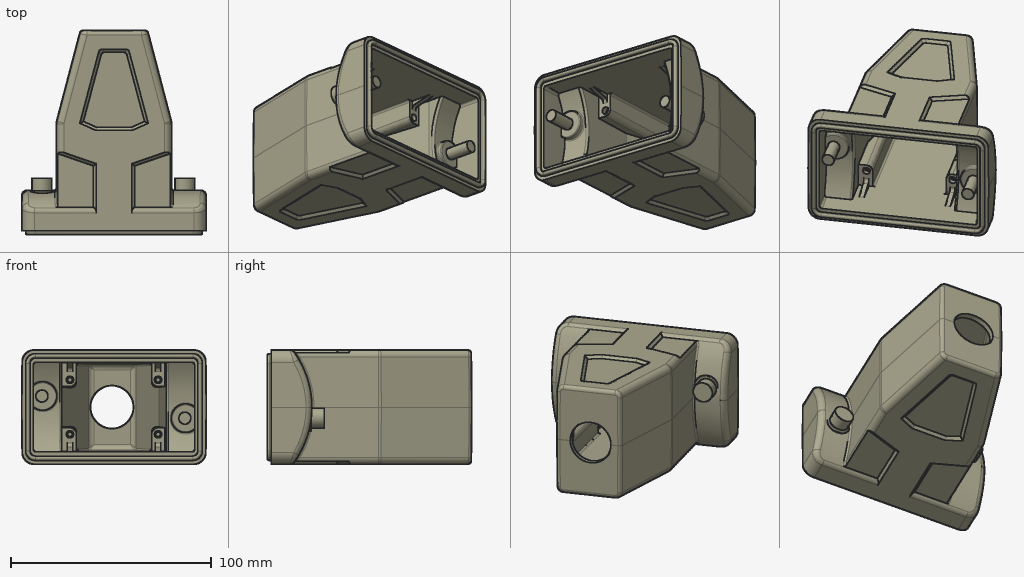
import cadquery as cq
import math

LENGTH = 102.0
HALF_HEIGHT = 28.51
MOULD_DRAFT = 0.5
FACE_Y = 2.0
SHOULDER_Y = 56.1
SHOULDER_RADIUS = 5.1
BODY_HALF_WIDTH = 28.8
END_HALF_WIDTH = 16.7
BODY_EDGE_RADIUS = 3.5
END_EDGE_RADIUS = 2.0

FLANGE_HALF_WIDTH = 46.0
FLANGE_CORNER_RADIUS = 6.1
EAR_TOP_Y = 22.3
EAR_ARCH_RADIUS = 47.1
EAR_EDGE_RADIUS = 3.1
EAR_ROOT_RADIUS = 0.9

RECESS_DEPTH = 1.5
RECESS_WALL_ANGLE = 45
LABEL_FRONT_Y = 52.1
LABEL_SHOULDER_Y = 55.7
LABEL_REAR_Y = 92.5
LABEL_FRONT_HALF_WIDTH = 9.1
LABEL_SHOULDER_HALF_WIDTH = 17.0
LABEL_REAR_HALF_WIDTH = 7.2
LABEL_CORNER_RADIUS = 2.5
GRIP_INNER_X = 8.8
GRIP_INNER_Y = 35.5
GRIP_SLOPE = 0.345

OPENING_HALF_WIDTH = 40.2
OPENING_HALF_HEIGHT = 22.3
OPENING_CORNER_RADIUS = 1.5
CAVITY_END_Y = 98.9
CAVITY_END_HALF_HEIGHT = 21.3
CAVITY_HALF_WIDTH = 26.0
CAVITY_RIGHT_BEND_X = 22.3
CAVITY_LEFT_BEND_Y = 51.0
CAVITY_RIGHT_SLOPE_Y = 22.4
CABLE_X = -1.0
CAVITY_END_HALF_WIDTH = 11.3
CAVITY_END_RADIUS = 2.9
CAVITY_FLOOR_RADIUS = 0.8
CAVITY_STEP_RADIUS = 1.1
EAR_WALL = 2.9
CABLE_HOLE_DIAMETER = 21.3

POST_OUTER_X = 26.0
POST_INNER_X = 18.8
POST_INNER_Z = 10.3
POST_FRONT_Y = 28.6
POST_REAR_Y = 81.6
POST_DRAFT = 1.0
POST_CORNER_RADIUS = 3.1
POST_FOOT_RADIUS = 1.0
SCREW_X = 21.9
SCREW_Z = 13.6
SCREW_DIAMETER = 2.3
SCREW_MOUTH_DIAMETER = 3.6
SCREW_MOUTH_DEPTH = 3.1
SCREW_DEPTH = 12.2
RIB_WIDTH = 2.5
RIB_INNER_Z = 19.4
RIB_ROOT_RADIUS = 2.0
RIB_FRONT_Y = 16.7

PIN_X = 35.6
PIN_Z = 5.5
PIN_SHIFT_X = -0.3
PIN_SHAFT_DIAMETER = 6.0
PIN_HEAD_DIAMETER = 10.0
PIN_FRONT_Y = 2.5
PIN_REAR_Y = 28.4
SEAT_REAR_Y = 21.9
SEAT_REAR_DIAMETER = 13.0
SEAT_REAR_RIM_DIAMETER = 12.0
SEAT_FRONT_Y = 16.3
SEAT_FRONT_DIAMETER = 14.3
SEAT_EDGE_RADIUS = 0.5

SEAL_HALF_WIDTH = 44.1
SEAL_HALF_HEIGHT = 26.6
SEAL_WIDTH = 2.2
SEAL_CORNER_RADIUS = 4.9
SEAL_GROOVE_DEPTH = 2.0

SIDES = (-1, 1)
TRIM = 10.2
WELL = 81.6


def mirrored_outline(half):
    """Closed outline from points on the +X half, mirrored in X = 0."""
    return half + [(-x, y) for x, y in reversed(half)]


def both_halves(upper):
    """A shape above the parting plane joined to its mirror image below it."""
    return upper.union(upper.mirror("XY"))


def near(x_range, y_range, z_range):
    """Selector for what is centred inside a box."""
    return cq.selectors.BoxSelector(*zip(x_range, y_range, z_range))


def mould_half(points):
    """Upper mould half of an outline in XY."""
    return cq.Workplane("XY").polyline(points).close().extrude(HALF_HEIGHT, taper=MOULD_DRAFT)


def arch(front_y, crown_y, radius, half_chord):
    """Prism along X, flat in front and arched at the rear."""
    foot_y = crown_y - radius + math.sqrt(radius**2 - half_chord**2)
    return (
        cq.Workplane("YZ")
        .moveTo(front_y, -half_chord)
        .lineTo(foot_y, -half_chord)
        .threePointArc((crown_y, 0), (foot_y, half_chord))
        .lineTo(front_y, half_chord)
        .close()
        .extrude(WELL, both=True)
    )


def rounded_bar(half_width, half_height, corner_radius, front_y, rear_y):
    """Rectangular bar along Y with rounded long edges."""
    bar = cq.Workplane("XZ", origin=(0, front_y, 0)).rect(2 * half_width, 2 * half_height)
    return bar.extrude(front_y - rear_y).edges("|Y").fillet(corner_radius)


def cylinder(x, z, diameter, front_y, rear_y):
    """Cylinder along Y."""
    circle = cq.Workplane("XZ", origin=(x, front_y, z)).circle(diameter / 2)
    return circle.extrude(front_y - rear_y)


def body_half():
    plan = mirrored_outline(
        [(BODY_HALF_WIDTH, -TRIM), (BODY_HALF_WIDTH, SHOULDER_Y), (END_HALF_WIDTH, LENGTH)]
    )
    half = mould_half(plan)
    for side in SIDES:
        shoulder_x = side * BODY_HALF_WIDTH
        shoulder = near(
            (shoulder_x - 1, shoulder_x + 1), (SHOULDER_Y - 1, SHOULDER_Y + 1), (1, HALF_HEIGHT - 1)
        )
        half = half.edges(shoulder).fillet(SHOULDER_RADIUS)
    half = half.faces(">Z").edges("not(|X)").fillet(BODY_EDGE_RADIUS)
    end_face = near((-WELL, WELL), (LENGTH - 1, LENGTH + 1), (0, WELL))
    half = half.faces(end_face).edges("not <Z").fillet(END_EDGE_RADIUS)
    front_waste = cq.Workplane("XY").box(2 * WELL, 2 * WELL, 2 * WELL).translate((0, FACE_Y - WELL, 0))
    return half.cut(front_waste)


def flange_half():
    plan = mirrored_outline([(FLANGE_HALF_WIDTH, -TRIM), (FLANGE_HALF_WIDTH, WELL)])
    half = mould_half(plan).faces(">Z").edges("not(|X)").fillet(FLANGE_CORNER_RADIUS)
    half = half.intersect(arch(FACE_Y, EAR_TOP_Y, EAR_ARCH_RADIUS, HALF_HEIGHT))
    rear_edges = near((-WELL, WELL), (EAR_TOP_Y / 2, WELL), (1, WELL))
    return half.edges(rear_edges).fillet(EAR_EDGE_RADIUS)


def recess(points):
    """Recess with slanted walls in the top face."""
    top = cq.Workplane("XY", origin=(0, 0, HALF_HEIGHT)).polyline(points).close()
    return top.extrude(-RECESS_DEPTH, taper=RECESS_WALL_ANGLE)


def label_recess():
    outline = mirrored_outline(
        [
            (LABEL_FRONT_HALF_WIDTH, LABEL_FRONT_Y),
            (LABEL_SHOULDER_HALF_WIDTH, LABEL_SHOULDER_Y),
            (LABEL_REAR_HALF_WIDTH, LABEL_REAR_Y),
        ]
    )
    top = recess(outline)
    for side in SIDES:
        corner_x = side * LABEL_REAR_HALF_WIDTH
        corner = near((corner_x - 1, corner_x + 1), (LABEL_REAR_Y - 1, LABEL_REAR_Y), (0, WELL))
        top = top.edges(corner).fillet(LABEL_CORNER_RADIUS)
    return top


def grip_recess(side):
    outer_x = BODY_HALF_WIDTH + TRIM
    outer_y = GRIP_INNER_Y + GRIP_SLOPE * (outer_x - GRIP_INNER_X)
    outline = [
        (side * GRIP_INNER_X, FACE_Y),
        (side * outer_x, FACE_Y),
        (side * outer_x, outer_y),
        (side * GRIP_INNER_X, GRIP_INNER_Y),
    ]
    return recess(outline)


def cavity():
    """Space inside the housing: the body cavity, widened in front by the arched ears."""
    plan = [
        (-CAVITY_HALF_WIDTH, FACE_Y),
        (CAVITY_HALF_WIDTH, FACE_Y),
        (CAVITY_HALF_WIDTH, CAVITY_RIGHT_SLOPE_Y),
        (CAVITY_RIGHT_BEND_X, SHOULDER_Y),
        (CABLE_X + CAVITY_END_HALF_WIDTH, CAVITY_END_Y),
        (CABLE_X - CAVITY_END_HALF_WIDTH, CAVITY_END_Y),
        (-CAVITY_HALF_WIDTH, CAVITY_LEFT_BEND_Y),
    ]
    space = cq.Workplane("XY").polyline(plan).close().extrude(HALF_HEIGHT, both=True)
    ears = arch(FACE_Y, EAR_TOP_Y - EAR_WALL, EAR_ARCH_RADIUS - EAR_WALL, OPENING_HALF_HEIGHT)
    ears = ears.intersect(
        rounded_bar(OPENING_HALF_WIDTH, OPENING_HALF_HEIGHT, OPENING_CORNER_RADIUS, FACE_Y, WELL)
    )
    floors = (
        cq.Workplane("YZ")
        .polyline(
            [
                (FACE_Y, -OPENING_HALF_HEIGHT),
                (CAVITY_END_Y, -CAVITY_END_HALF_HEIGHT),
                (CAVITY_END_Y, CAVITY_END_HALF_HEIGHT),
                (FACE_Y, OPENING_HALF_HEIGHT),
            ]
        )
        .close()
        .extrude(WELL, both=True)
    )
    space = space.intersect(floors)
    slanted_edges = near((-WELL, WELL), (SHOULDER_Y + TRIM, CAVITY_END_Y - TRIM), (-WELL, WELL))
    space = space.faces(">Y").edges().fillet(CAVITY_END_RADIUS)
    space = space.edges(slanted_edges).fillet(CAVITY_FLOOR_RADIUS)
    space = space.union(ears.intersect(floors))
    for side in SIDES:
        step_x = side * CAVITY_HALF_WIDTH
        step = near((step_x - 1, step_x + 1), (FACE_Y + 1, EAR_TOP_Y), (-1, 1))
        space = space.edges(step).fillet(CAVITY_STEP_RADIUS)
    return space


def floor_z(y):
    """Height of the sloping cavity floor above Z = 0."""
    slope = (OPENING_HALF_HEIGHT - CAVITY_END_HALF_HEIGHT) / (CAVITY_END_Y - FACE_Y)
    return OPENING_HALF_HEIGHT - slope * (y - FACE_Y)


def post_section(y, inner_z):
    """Section of a post, with one rounded corner and a cove where it meets the floor."""
    foot_z = floor_z(y)
    return (
        cq.Workplane("XZ", origin=(0, y, 0))
        .moveTo(POST_OUTER_X, inner_z)
        .lineTo(POST_OUTER_X, HALF_HEIGHT)
        .lineTo(POST_INNER_X - POST_FOOT_RADIUS, HALF_HEIGHT)
        .lineTo(POST_INNER_X - POST_FOOT_RADIUS, foot_z)
        .radiusArc((POST_INNER_X, foot_z - POST_FOOT_RADIUS), POST_FOOT_RADIUS)
        .lineTo(POST_INNER_X, inner_z + POST_CORNER_RADIUS)
        .radiusArc((POST_INNER_X + POST_CORNER_RADIUS, inner_z), -POST_CORNER_RADIUS)
        .close()
        .val()
    )


def screw_post(x_side, z_side):
    """Post on a cavity floor with a screw hole in its front, and a sloping rib below the hole."""
    length = POST_REAR_Y - POST_FRONT_Y
    rear_inner_z = POST_INNER_Z - length * math.tan(math.radians(POST_DRAFT))
    front = post_section(POST_FRONT_Y, POST_INNER_Z)
    rear = post_section(POST_REAR_Y, rear_inner_z)
    post = cq.Workplane(cq.Solid.makeLoft([front, rear], True))
    hole = cylinder(SCREW_X, SCREW_Z, SCREW_DIAMETER, POST_FRONT_Y, POST_FRONT_Y + SCREW_DEPTH)
    mouth_rear_y = POST_FRONT_Y + SCREW_MOUTH_DEPTH
    mouth = cylinder(SCREW_X, SCREW_Z, SCREW_MOUTH_DIAMETER, POST_FRONT_Y, mouth_rear_y)
    rib = (
        cq.Workplane("YZ", origin=(SCREW_X, 0, 0))
        .polyline(
            [
                (POST_FRONT_Y, RIB_INNER_Z),
                (RIB_FRONT_Y, OPENING_HALF_HEIGHT),
                (POST_FRONT_Y, OPENING_HALF_HEIGHT),
            ]
        )
        .close()
        .extrude(RIB_WIDTH / 2, both=True)
    )
    post = post.union(rib)
    rib_root = near(
        (SCREW_X - 1, SCREW_X + 1),
        (POST_FRONT_Y - 1, POST_FRONT_Y + 1),
        (RIB_INNER_Z - 1, RIB_INNER_Z + 1),
    )
    post = post.edges(rib_root).fillet(RIB_ROOT_RADIUS).cut(hole).cut(mouth)
    if x_side < 0:
        post = post.mirror("YZ")
    if z_side < 0:
        post = post.mirror("XY")
    return post


def inner_seat(side):
    """Round pad around a pin, on the arched wall inside an ear."""
    pad = cylinder(side * PIN_X, -side * PIN_Z, SEAT_FRONT_DIAMETER, SEAT_FRONT_Y, EAR_TOP_Y)
    return pad.faces("<Y").edges().fillet(SEAT_EDGE_RADIUS)


def outer_seat(side):
    """Round pad under a pin head, on the arched outside of an ear."""
    inside_wall_y = EAR_TOP_Y - EAR_WALL / 2
    pad = cylinder(side * PIN_X, -side * PIN_Z, SEAT_REAR_DIAMETER, inside_wall_y, SEAT_REAR_Y)
    return pad.faces(">Y").edges().fillet((SEAT_REAR_DIAMETER - SEAT_REAR_RIM_DIAMETER) / 2)


def make_pin(side):
    """Stepped pin: the thin shaft goes through the ear, the thick head rests on its seat."""
    x, z = side * PIN_X + PIN_SHIFT_X, -side * PIN_Z
    shaft = cylinder(x, z, PIN_SHAFT_DIAMETER, PIN_FRONT_Y, SEAT_REAR_Y)
    return shaft.union(cylinder(x, z, PIN_HEAD_DIAMETER, SEAT_REAR_Y, PIN_REAR_Y))


def make_seal():
    """Ring with a half-round front, swept around the mating face."""
    radius = SEAL_WIDTH / 2
    centre_path = (
        rounded_bar(
            SEAL_HALF_WIDTH - radius, SEAL_HALF_HEIGHT - radius, SEAL_CORNER_RADIUS - radius, radius, FACE_Y
        )
        .faces("<Y")
        .wires()
        .val()
    )
    section_plane = cq.Plane(centre_path.startPoint(), xDir=(0, 1, 0), normal=centre_path.tangentAt(0))
    back = FACE_Y + SEAL_GROOVE_DEPTH - radius
    section = (
        cq.Workplane(section_plane)
        .moveTo(0, radius)
        .threePointArc((-radius, 0), (0, -radius))
        .lineTo(back, -radius)
        .lineTo(back, radius)
        .close()
    )
    return section.sweep(cq.Workplane(centre_path))


def shell_half():
    """Solid outside of the housing above the parting plane."""
    flange = flange_half()
    half = body_half().union(flange)
    for side in SIDES:
        root_x = side * BODY_HALF_WIDTH
        root = near((root_x - 1, root_x + 1), (EAR_TOP_Y - 5.1, EAR_TOP_Y), (1, HALF_HEIGHT - 1))
        half = half.edges(root).fillet(EAR_ROOT_RADIUS)
        half = half.cut(grip_recess(side).cut(flange))
    return half.cut(label_recess())


def make_housing(seal, pins):
    space = cavity()
    for x_side in SIDES:
        for z_side in SIDES:
            space = space.cut(screw_post(x_side, z_side))
    for side in SIDES:
        space = space.cut(inner_seat(side))
        foot_y = EAR_TOP_Y - EAR_WALL
        pad_range = sorted((side * OPENING_HALF_WIDTH * 0.99, side * (CAVITY_HALF_WIDTH + 2)))
        foot = near(pad_range, (foot_y - 1, foot_y), (-WELL, WELL))
        space = space.edges(foot).fillet(SEAT_EDGE_RADIUS)
    solid = both_halves(shell_half()).cut(space)
    solid = solid.cut(cylinder(CABLE_X, 0, CABLE_HOLE_DIAMETER, CAVITY_END_Y - TRIM, LENGTH + TRIM))
    for side, pin in zip(SIDES, pins):
        solid = solid.union(outer_seat(side)).cut(pin)
    return solid.cut(seal)


pins = [make_pin(side) for side in SIDES]
seal = make_seal()
housing = make_housing(seal, pins)

result = cq.Compound.makeCompound([housing.val(), seal.val(), *[pin.val() for pin in pins]])